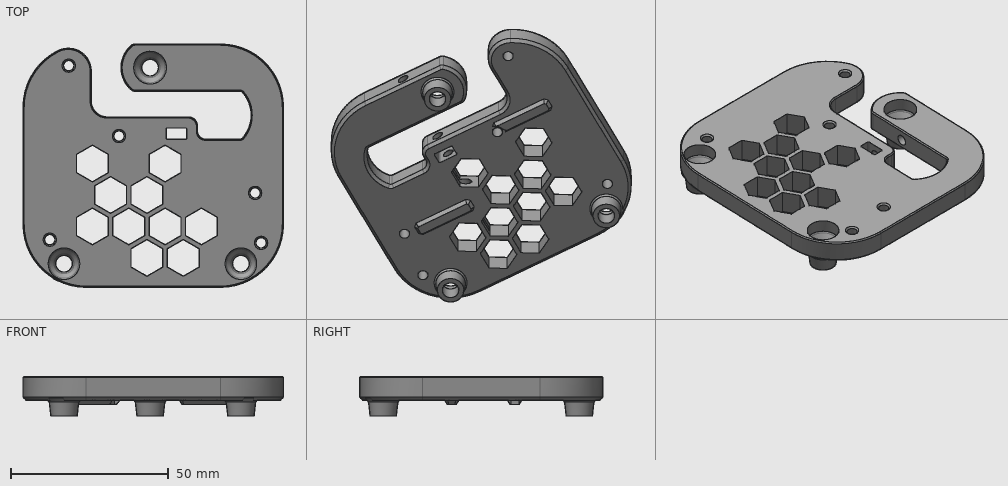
import cadquery as cq
import math

PLATE_X = 82.5
PLATE_Y = 77.06
PLATE_T = 7.6
CORNER_R = 20.0
TOP_CHAMFER = 0.4
BOTTOM_CHAMFER = 1.0

ARM_WIDTH = 15.0
ARM_SCREW_X = 40.25
ARM_Y = PLATE_Y - ARM_WIDTH / 2
ARM_TIP_R = 9.25
ARM_TIP_CORNER_R = 1.8

SLOT_LEFT_X = 21.65
SLOT_SHELF_Y = 54.0
SLOT_STEP_X = 55.3
SLOT_FLOOR_Y = 46.95
SLOT_END_X = 69.2
SLOT_END_BULGE = 3.0
LOBE_R = 7.3
SHELF_INNER_R = 5.0
STEP_OUTER_R = 3.0
STEP_INNER_R = 2.5
SLOT_END_CORNER_R = 1.0

SCREW_HOLE_D = 5.2
HEAD_DEPTH = 4.1
SEAT_RING_W = 0.4
SEAT_RING_H = 0.35
SEAT_THROAT_D = 6.3
SEAT_THROAT_H = 0.8
FRONT_SCREW_Y = 7.5
SCREW_SEATS = [
    (13.0, FRONT_SCREW_Y, 10.0),
    (69.0, FRONT_SCREW_Y, 10.0),
    (ARM_SCREW_X, ARM_Y, 10.4),
]
LEG_H = 5.0
LEG_FOOT_D = 8.4
LEG_TOP_D = 9.4
LEG_FLARE_D = 10.4
LEG_FLARE_H = 0.6
LEG_ROOT_Z = 0.7

SMALL_HOLE_D = 3.2
SMALL_HOLE_CHAMFER = 0.5
SHELF_HOLE = (30.4, 47.9)
SMALL_HOLES = [(14.5, 70.2), SHELF_HOLE, (73.5, 29.9), (75.4, 14.1), (8.5, 15.1)]

HEX_FLATS = 10.0
HEX_WALL = 1.5
HEX_PITCH = HEX_FLATS + HEX_WALL
HEX_ROW_PITCH = HEX_PITCH * math.sqrt(3) / 2
HEX_ORIGIN = (22.0, 19.3)
HEX_CELLS = [(1.5, -1), (2.5, -1), (0, 0), (1, 0), (2, 0), (3, 0), (0.5, 1), (1.5, 1), (0, 2), (2, 2)]

WINDOW_CENTRE = (48.6, 48.7)
WINDOW_X = 6.4
WINDOW_Y = 3.5
WINDOW_R = 0.3

CROSS_HOLE_D = 3.4
CROSS_HOLE_X = 48.6
CROSS_HOLE_Z = 3.8
CROSS_HOLE_END_Y = HEX_ORIGIN[1] - HEX_FLATS / 4

PAD_H = 1.4
PAD_LENGTH = 20.0
PAD_WIDTH = 4.6
PAD_TAPER = 0.9
PAD_CORNER = 1.0
SHELF_PAD_X = 10.8
SHELF_PAD_Y = 49.1
SIDE_PAD_X = 49.5
SIDE_PAD_Y = 29.2
PAD_CLEARANCE_CORNERS = 5.8

MARGIN = 1.0
EDGE_REACH = 0.3


def edges_at(x, y):
    """Box selector for the vertical plate edge at (x, y)."""
    low = (x - EDGE_REACH, y - EDGE_REACH, 0)
    high = (x + EDGE_REACH, y + EDGE_REACH, PLATE_T)
    return cq.selectors.BoxSelector(low, high)


def make_plate():
    """Rounded square plate with the slot open to the +Y edge."""
    plate = (
        cq.Workplane("XY")
        .rect(PLATE_X, PLATE_Y, centered=False)
        .extrude(PLATE_T)
        .edges("|Z")
        .fillet(CORNER_R)
    )
    arm_bottom = PLATE_Y - ARM_WIDTH
    tip_x = ARM_SCREW_X - math.sqrt(ARM_TIP_R**2 - (ARM_WIDTH / 2) ** 2)
    slot_mid_y = (SLOT_FLOOR_Y + arm_bottom) / 2
    slot = (
        cq.Workplane("XY")
        .moveTo(SLOT_LEFT_X, PLATE_Y + MARGIN)
        .lineTo(SLOT_LEFT_X, SLOT_SHELF_Y)
        .lineTo(SLOT_STEP_X, SLOT_SHELF_Y)
        .lineTo(SLOT_STEP_X, SLOT_FLOOR_Y)
        .lineTo(SLOT_END_X, SLOT_FLOOR_Y)
        .threePointArc((SLOT_END_X + SLOT_END_BULGE, slot_mid_y), (SLOT_END_X, arm_bottom))
        .lineTo(tip_x, arm_bottom)
        .threePointArc((ARM_SCREW_X - ARM_TIP_R, ARM_Y), (tip_x, PLATE_Y))
        .lineTo(tip_x, PLATE_Y + MARGIN)
        .close()
        .extrude(PLATE_T)
    )
    plate = plate.cut(slot)
    rounded_corners = [
        (SLOT_LEFT_X, PLATE_Y, LOBE_R),
        (SLOT_LEFT_X, SLOT_SHELF_Y, SHELF_INNER_R),
        (SLOT_STEP_X, SLOT_SHELF_Y, STEP_OUTER_R),
        (SLOT_STEP_X, SLOT_FLOOR_Y, STEP_INNER_R),
        (SLOT_END_X, SLOT_FLOOR_Y, SLOT_END_CORNER_R),
        (SLOT_END_X, arm_bottom, SLOT_END_CORNER_R),
        (tip_x, arm_bottom, ARM_TIP_CORNER_R),
        (tip_x, PLATE_Y, ARM_TIP_CORNER_R),
    ]
    for x, y, radius in rounded_corners:
        plate = plate.edges("|Z").edges(edges_at(x, y)).fillet(radius)
    return plate.faces(">Z").chamfer(TOP_CHAMFER).faces("<Z").chamfer(BOTTOM_CHAMFER)


def revolved(x, y, profile):
    """Solid of revolution about the vertical line through (x, y), from (radius, z) points."""
    return (
        cq.Workplane("XZ")
        .polyline(profile)
        .close()
        .revolve(360, (0, 0), (0, 1))
        .translate((x, y, 0))
    )


def make_leg(x, y):
    """Conical leg whose wider flare runs up into the plate's lower chamfer."""
    flare_slope = (LEG_FLARE_D - LEG_TOP_D) / 2 / LEG_FLARE_H
    root_r = LEG_FLARE_D / 2 + flare_slope * LEG_ROOT_Z
    profile = [
        (0, -LEG_H),
        (LEG_FOOT_D / 2, -LEG_H),
        (LEG_TOP_D / 2, -LEG_FLARE_H),
        (root_r, LEG_ROOT_Z),
        (0, LEG_ROOT_Z),
    ]
    return revolved(x, y, profile)


def make_screw_seat(x, y, head_d):
    """Cutter for a screw: head pocket, rim ring, 90 degree cone, narrow throat and through hole."""
    hole_r = SCREW_HOLE_D / 2
    throat_r = SEAT_THROAT_D / 2
    pocket_floor = PLATE_T - HEAD_DEPTH
    cone_r = head_d / 2 - SEAT_RING_W
    cone_top = pocket_floor - SEAT_RING_H
    cone_bottom = cone_top - (cone_r - throat_r)
    profile = [
        (0, -LEG_H - MARGIN),
        (hole_r, -LEG_H - MARGIN),
        (hole_r, cone_bottom - SEAT_THROAT_H),
        (throat_r, cone_bottom),
        (cone_r, cone_top),
        (head_d / 2, pocket_floor),
        (head_d / 2, PLATE_T + MARGIN),
        (0, PLATE_T + MARGIN),
    ]
    return revolved(x, y, profile)


def make_small_hole(x, y):
    """Cutter for a small through hole, countersunk on top."""
    hole_r = SMALL_HOLE_D / 2
    profile = [
        (0, -PAD_H - MARGIN),
        (hole_r, -PAD_H - MARGIN),
        (hole_r, PLATE_T - SMALL_HOLE_CHAMFER),
        (hole_r + SMALL_HOLE_CHAMFER, PLATE_T),
        (0, PLATE_T),
    ]
    return revolved(x, y, profile)


def make_honeycomb():
    """Cutter for the hexagonal openings, corners pointing along Y."""
    corner_d = HEX_FLATS * 2 / math.sqrt(3)
    centres = [
        (HEX_ORIGIN[0] + column * HEX_PITCH, HEX_ORIGIN[1] + row * HEX_ROW_PITCH)
        for column, row in HEX_CELLS
    ]
    corner_angles = [math.radians(30 + 60 * corner) for corner in range(6)]
    hexagon = [
        (corner_d / 2 * math.cos(angle), corner_d / 2 * math.sin(angle))
        for angle in corner_angles
    ]
    cell = cq.Workplane("XY").polyline(hexagon).close().extrude(PLATE_T).val()
    return (
        cq.Workplane("XY")
        .pushPoints(centres)
        .eachpoint(lambda place: cell.moved(place), combine=True)
    )


def make_window():
    """Cutter for the rounded rectangular window."""
    return (
        cq.Workplane("XY")
        .center(*WINDOW_CENTRE)
        .rect(WINDOW_X, WINDOW_Y)
        .extrude(PLATE_T)
        .edges("|Z")
        .fillet(WINDOW_R)
    )


def make_cross_hole():
    """Cutter for the blind hole bored in from the +Y edge."""
    depth = PLATE_Y - CROSS_HOLE_END_Y
    return (
        cq.Workplane("XZ", origin=(CROSS_HOLE_X, PLATE_Y, CROSS_HOLE_Z))
        .circle(CROSS_HOLE_D / 2)
        .extrude(depth)
    )


def make_pad(x_start, y_mid):
    """Bar under the plate with cut corners, all sides tapering inwards going down."""
    taper_angle = math.degrees(math.atan(PAD_TAPER / PAD_H))
    half_w = PAD_WIDTH / 2
    x_end = x_start + PAD_LENGTH
    outline = [
        (x_start + PAD_CORNER, y_mid - half_w),
        (x_end - PAD_CORNER, y_mid - half_w),
        (x_end, y_mid - half_w + PAD_CORNER),
        (x_end, y_mid + half_w - PAD_CORNER),
        (x_end - PAD_CORNER, y_mid + half_w),
        (x_start + PAD_CORNER, y_mid + half_w),
        (x_start, y_mid + half_w - PAD_CORNER),
        (x_start, y_mid - half_w + PAD_CORNER),
    ]
    return cq.Workplane("XY").polyline(outline).close().extrude(-PAD_H, taper=taper_angle)


def make_shelf_pad():
    """Pad beside the shelf hole, with hexagonal clearance around that hole."""
    clearance = cq.Workplane("XY").center(*SHELF_HOLE).polygon(6, PAD_CLEARANCE_CORNERS).extrude(-PAD_H)
    return make_pad(SHELF_PAD_X, SHELF_PAD_Y).cut(clearance)


result = make_plate()
for x, y, head_d in SCREW_SEATS:
    result = result.union(make_leg(x, y))
result = result.union(make_shelf_pad()).union(make_pad(SIDE_PAD_X, SIDE_PAD_Y))
for x, y, head_d in SCREW_SEATS:
    result = result.cut(make_screw_seat(x, y, head_d))
for x, y in SMALL_HOLES:
    result = result.cut(make_small_hole(x, y))
result = result.cut(make_honeycomb()).cut(make_window()).cut(make_cross_hole())